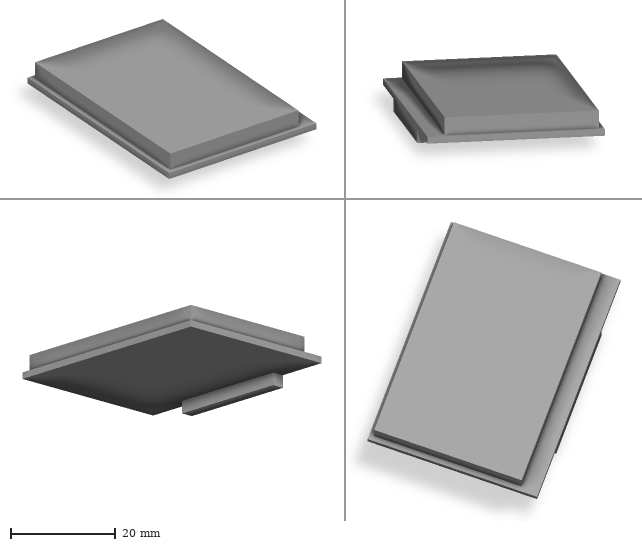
import cadquery as cq

BOARD_LENGTH = 47.0
BOARD_WIDTH = 34.6
BOARD_THICKNESS = 1.3

MODULE_LENGTH = 45.0
MODULE_WIDTH = 30.1
MODULE_HEIGHT = 3.5
MODULE_FRONT_MARGIN = 1.0

SCREEN_LENGTH = 42.5
SCREEN_WIDTH = 22.7
SCREEN_DEPTH = 0.45
SCREEN_BACK_MARGIN = 1.8

HEADER_LENGTH = 25.45
HEADER_SIZE = 2.55

MODULE_BACK_Y = -BOARD_WIDTH / 2 + MODULE_FRONT_MARGIN + MODULE_WIDTH
MODULE_TOP_Z = BOARD_THICKNESS + MODULE_HEIGHT


def centred_block(length, width, height, back_y, bottom_z):
    """Block centred in X, with its +Y face at back_y and its underside at bottom_z."""
    return cq.Workplane("XY").box(length, width, height, centered=(True, False, False)).translate(
        (0, back_y - width, bottom_z)
    )


def make_board():
    return centred_block(BOARD_LENGTH, BOARD_WIDTH, BOARD_THICKNESS, BOARD_WIDTH / 2, 0)


def make_screen():
    return centred_block(
        SCREEN_LENGTH,
        SCREEN_WIDTH,
        SCREEN_DEPTH,
        MODULE_BACK_Y - SCREEN_BACK_MARGIN,
        MODULE_TOP_Z - SCREEN_DEPTH,
    )


def make_module(screen):
    """Display module with a recess that fits the screen."""
    block = centred_block(MODULE_LENGTH, MODULE_WIDTH, MODULE_HEIGHT, MODULE_BACK_Y, BOARD_THICKNESS)
    return block.cut(screen)


def make_header():
    return centred_block(HEADER_LENGTH, HEADER_SIZE, HEADER_SIZE, BOARD_WIDTH / 2, -HEADER_SIZE)


board = make_board()
screen = make_screen()
module = make_module(screen)
header = make_header()

result = cq.Compound.makeCompound([board.val(), module.val(), screen.val(), header.val()])